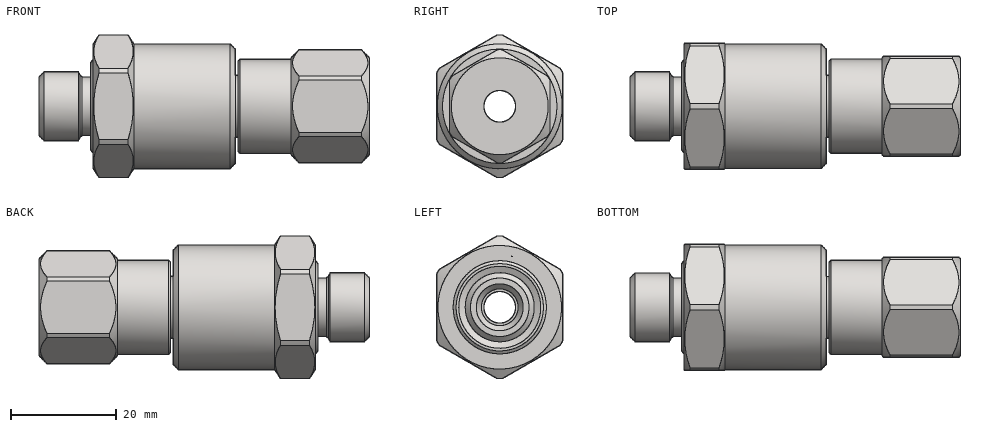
import cadquery as cq
import math

length = 62.9
groove_start_x = 7.5
groove_bend_x = 7.85
neck_start_x = 8.25
seal_face_x = 9.8
body_hex_start_x = 10.25
body_hex_end_x = 18.05
body_end_x = 37.35
sleeve_start_x = 37.85
nut_start_x = 47.9

stud_diameter = 13.15
stud_chamfer = 1.0
groove_bend_diameter = 11.8
neck_diameter = 11.2

seal_base_diameter = 17.75
seal_rim_outer_diameter = 16.6
seal_rim_inner_diameter = 15.6
seal_recess_depth = 1.0
neck_root_radius = 0.6

body_diameter = 23.8
body_chamfer = 1.0
body_hex_flats = 24.0
body_hex_corner_diameter = 27.2
body_hex_front_diameter = 23.5
body_hex_chamfer_angle = 33.0

link_diameter = 11.8
sleeve_diameter = 18.0
sleeve_chamfer = 0.4
nut_flats = 19.05
nut_corner_diameter = 21.5
nut_face_diameter = 18.4
nut_chamfer_angle = 45.0

bore_diameter = 6.0
entry_bore_diameter = 7.0
entry_bore_depth = body_hex_end_x
countersink_diameter = 8.95
countersink_depth = 1.4


def revolve_profile(points):
    """Revolve (x, diameter) points, closed along the axis, about X."""
    outline = [(points[0][0], 0)]
    outline += [(x, diameter / 2) for x, diameter in points]
    outline.append((points[-1][0], 0))
    return cq.Workplane("XY").polyline(outline).close().revolve(360, (0, 0, 0), (1, 0, 0))


def turned_hexagon(start_x, end_x, flats, corner_diameter, start_diameter, end_diameter, chamfer_angle):
    """Hexagon with corners up and down, turned to a corner diameter and coned at both ends."""
    prism = (
        cq.Workplane("YZ", origin=(start_x, 0, 0))
        .polygon(6, flats / math.cos(math.pi / 6))
        .extrude(end_x - start_x)
        .rotate((0, 0, 0), (1, 0, 0), 30)
    )
    slope = math.tan(math.radians(chamfer_angle))
    start_chamfer = (corner_diameter - start_diameter) / 2 * slope
    end_chamfer = (corner_diameter - end_diameter) / 2 * slope
    envelope = revolve_profile([
        (start_x, start_diameter),
        (start_x + start_chamfer, corner_diameter),
        (end_x - end_chamfer, corner_diameter),
        (end_x, end_diameter),
    ])
    return prism.intersect(envelope)


core = revolve_profile([
    (0, stud_diameter - 2 * stud_chamfer),
    (stud_chamfer, stud_diameter),
    (groove_start_x, stud_diameter),
    (groove_bend_x, groove_bend_diameter),
    (neck_start_x, neck_diameter),
    (seal_face_x + seal_recess_depth, neck_diameter),
    (seal_face_x, seal_rim_inner_diameter),
    (seal_face_x, seal_rim_outer_diameter),
    (body_hex_start_x, seal_base_diameter),
    (body_hex_end_x, seal_base_diameter),
    (body_hex_end_x, body_diameter),
    (body_end_x - body_chamfer, body_diameter),
    (body_end_x, body_diameter - 2 * body_chamfer),
    (body_end_x, link_diameter),
    (sleeve_start_x, link_diameter),
    (sleeve_start_x, sleeve_diameter - 2 * sleeve_chamfer),
    (sleeve_start_x + sleeve_chamfer, sleeve_diameter),
    (length, sleeve_diameter),
])

neck_root = cq.selectors.NearestToPointSelector((seal_face_x + seal_recess_depth, 0, 0))
core = core.edges(neck_root).fillet(neck_root_radius)

body_hex = turned_hexagon(
    body_hex_start_x, body_hex_end_x, body_hex_flats, body_hex_corner_diameter,
    body_hex_front_diameter, body_diameter, body_hex_chamfer_angle,
)
hex_opening = revolve_profile([
    (body_hex_start_x, seal_rim_outer_diameter),
    (body_hex_end_x, seal_rim_outer_diameter),
])
tube_nut = turned_hexagon(
    nut_start_x, length, nut_flats, nut_corner_diameter,
    nut_face_diameter, nut_face_diameter, nut_chamfer_angle,
)

bore = revolve_profile([
    (0, countersink_diameter),
    (countersink_depth, entry_bore_diameter),
    (entry_bore_depth, entry_bore_diameter),
    (entry_bore_depth, bore_diameter),
    (length, bore_diameter),
])

result = body_hex.cut(hex_opening).union(core).union(tube_nut).cut(bore)